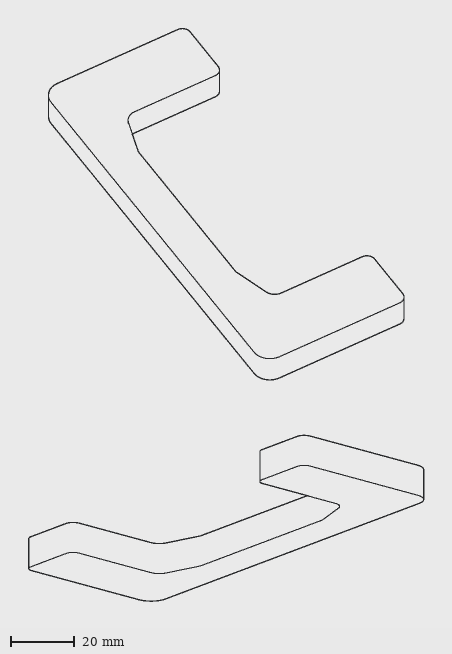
import cadquery as cq

length = 135.4
depth = 53.0
thickness = 10.0

leg_width = 22.9
grip_depth = 12.7
flat_length = 59.3
ramp_rise = 4.6

grip_corner_radius = 5.8
leg_end_radius = 2.8
ramp_radius = 4.0

half_length = length / 2
half_opening = half_length - leg_width
half_flat = flat_length / 2
front_y = -depth / 2
back_y = depth / 2
grip_y = front_y + grip_depth
ramp_top_y = grip_y + ramp_rise

outline = [
    (-half_length, front_y),
    (half_length, front_y),
    (half_length, back_y),
    (half_opening, back_y),
    (half_opening, ramp_top_y),
    (half_flat, grip_y),
    (-half_flat, grip_y),
    (-half_opening, ramp_top_y),
    (-half_opening, back_y),
    (-half_length, back_y),
]

handle = cq.Workplane("XY").polyline(outline).close().extrude(thickness)


def round_upright_edges(body, half_spacing, y, radius):
    """Round the mirrored pair of upright edges at x = +/-half_spacing."""
    for x in (-half_spacing, half_spacing):
        edge_middle = cq.selectors.NearestToPointSelector((x, y, thickness / 2))
        body = body.edges("|Z").edges(edge_middle).fillet(radius)
    return body


handle = round_upright_edges(handle, half_length, front_y, grip_corner_radius)

handle = round_upright_edges(handle, half_length, back_y, leg_end_radius)
handle = round_upright_edges(handle, half_opening, back_y, leg_end_radius)

handle = round_upright_edges(handle, half_opening, ramp_top_y, ramp_radius)

result = handle